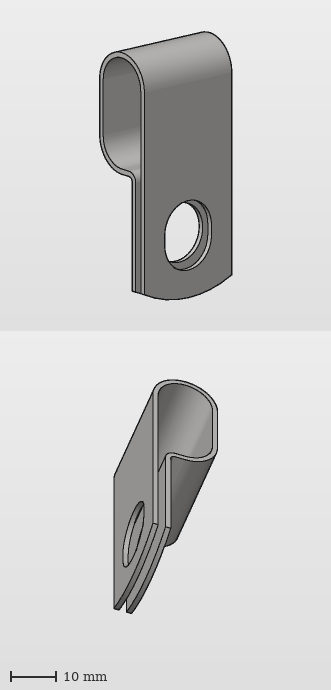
import cadquery as cq
import math

THICKNESS = 1.22
WIDTH = 25.4
LOOP_RADIUS = 6.35
LOOP_STRAIGHT = 12.7
HEIGHT = 56.77
TAB_GAP = 1.72
BEND_RADIUS = 1.0
HOLE_DIAMETER = 13.5
HOLE_HEIGHT = 14.3
SLOT_STRAIGHT = 2.4
TAB_END_RADIUS = 28.6

LOOP_ARC_MIDDLE = 225
BEND_ARC_MIDDLE = 45

loop_outer_radius = LOOP_RADIUS + THICKNESS
bend_outer_radius = BEND_RADIUS + THICKNESS
loop_bottom_z = -LOOP_STRAIGHT - loop_outer_radius
loop_floor_z = -LOOP_STRAIGHT - LOOP_RADIUS
tab_bottom_z = loop_outer_radius - HEIGHT
front_tab_inner_x = LOOP_RADIUS - TAB_GAP
front_tab_outer_x = front_tab_inner_x - THICKNESS
gap_middle_x = LOOP_RADIUS - TAB_GAP / 2
hole_z = tab_bottom_z + HOLE_HEIGHT
bend_center_x = front_tab_outer_x - BEND_RADIUS
bend_center_z = loop_bottom_z - BEND_RADIUS


def on_circle(center_x, center_z, radius, angle_degrees):
    """Point on a circle in the XZ plane, angle measured from +X toward +Z."""
    angle = math.radians(angle_degrees)
    return (center_x + radius * math.cos(angle), center_z + radius * math.sin(angle))


def bent_strip():
    """Constant-thickness strip: back tab, loop, tight bend and front tab."""
    outline = (
        cq.Workplane("XZ")
        .moveTo(loop_outer_radius, tab_bottom_z)
        .lineTo(loop_outer_radius, 0)
        .threePointArc((0, loop_outer_radius), (-loop_outer_radius, 0))
        .lineTo(-loop_outer_radius, -LOOP_STRAIGHT)
        .threePointArc(
            on_circle(0, -LOOP_STRAIGHT, loop_outer_radius, LOOP_ARC_MIDDLE),
            (0, loop_bottom_z),
        )
        .lineTo(bend_center_x, loop_bottom_z)
        .threePointArc(
            on_circle(bend_center_x, bend_center_z, BEND_RADIUS, BEND_ARC_MIDDLE),
            (front_tab_outer_x, bend_center_z),
        )
        .lineTo(front_tab_outer_x, tab_bottom_z)
        .lineTo(front_tab_inner_x, tab_bottom_z)
        .lineTo(front_tab_inner_x, bend_center_z)
        .threePointArc(
            on_circle(bend_center_x, bend_center_z, bend_outer_radius, BEND_ARC_MIDDLE),
            (bend_center_x, loop_floor_z),
        )
        .lineTo(0, loop_floor_z)
        .threePointArc(
            on_circle(0, -LOOP_STRAIGHT, LOOP_RADIUS, LOOP_ARC_MIDDLE),
            (-LOOP_RADIUS, -LOOP_STRAIGHT),
        )
        .lineTo(-LOOP_RADIUS, 0)
        .threePointArc((0, LOOP_RADIUS), (LOOP_RADIUS, 0))
        .lineTo(LOOP_RADIUS, tab_bottom_z)
        .close()
    )
    return outline.extrude(WIDTH / 2, both=True)


def rounded_end_envelope():
    """Solid bounded below by the tab end arc; keeping what lies inside it rounds both tabs."""
    half_width = WIDTH / 2
    end_rise = TAB_END_RADIUS - math.sqrt(TAB_END_RADIUS**2 - half_width**2)
    corner_z = tab_bottom_z + end_rise
    return (
        cq.Workplane("YZ")
        .moveTo(-half_width, loop_outer_radius)
        .lineTo(-half_width, corner_z)
        .threePointArc((0, tab_bottom_z), (half_width, corner_z))
        .lineTo(half_width, loop_outer_radius)
        .close()
        .extrude(loop_outer_radius, both=True)
    )


def front_hole():
    """Round hole through the front tab, ending midway across the gap between the tabs."""
    return (
        cq.Workplane("YZ", origin=(gap_middle_x, 0, hole_z))
        .circle(HOLE_DIAMETER / 2)
        .extrude(front_tab_outer_x - gap_middle_x)
    )


def back_slot():
    """Slot through the back tab, as wide as the front hole and elongated along Z."""
    slot_length = HOLE_DIAMETER + SLOT_STRAIGHT
    return (
        cq.Workplane("YZ", origin=(gap_middle_x, 0, hole_z))
        .slot2D(slot_length, HOLE_DIAMETER, angle=90)
        .extrude(loop_outer_radius - gap_middle_x)
    )


result = (
    bent_strip()
    .intersect(rounded_end_envelope())
    .cut(front_hole())
    .cut(back_slot())
)